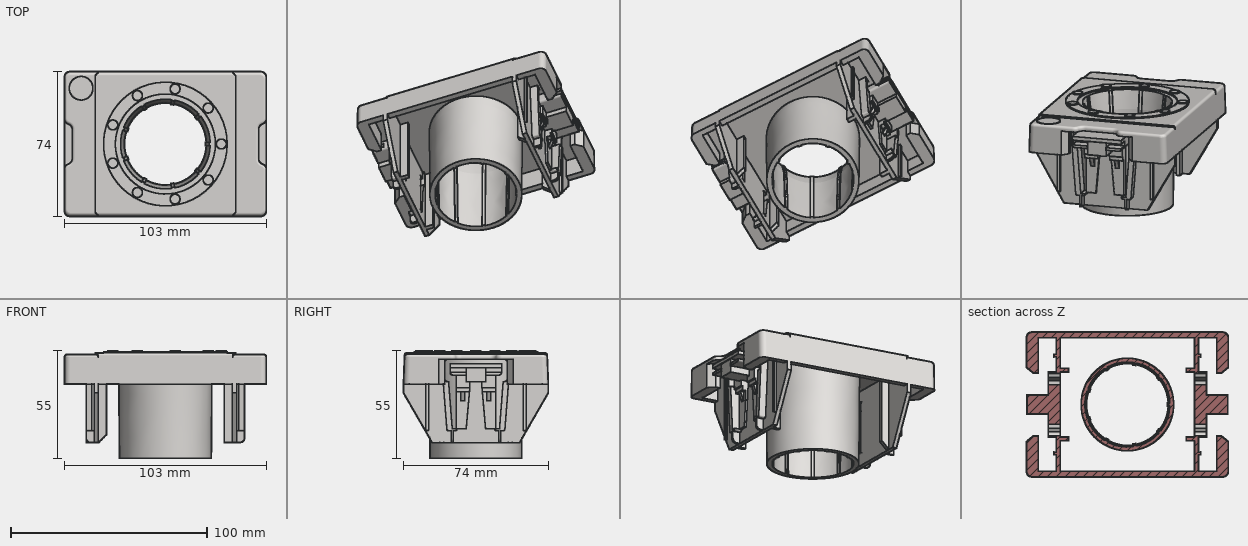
import cadquery as cq
import math

length = 103.0
width_bottom = 74.0
width_top = 72.8
plate_bottom = 37.9
plate_top = 53.0
corner_radius = 3.0
edge_radius = 1.4
wall = 2.5
cavity_top = plate_top - wall
half_length = length / 2

panel_half_length = 35.8
panel_top = 53.9
panel_corner_chamfer = 1.5
ring_outer_diameter = 63.0
ring_inner_diameter = 51.0
ring_top = 54.5
button_diameter = 5.0
button_top = 55.0
button_count = 9
button_circle_radius = (ring_outer_diameter + ring_inner_diameter) / 4

label_diameter = 12.0
label_x = -43.0
label_y = 28.4
label_depth = 0.2

notch_depth = 4.0
notch_floor_half = 7.3
notch_blend = 2.9
flare_half_outer = 19.0
flare_depth = 3.6

tube_radius_top = 23.8
tube_radius_bottom = 23.5
bore_radius_top = 22.9
bore_radius_middle = 21.6
bore_radius_bottom = 20.8
bore_break = 43.9
bore_rib_width = 1.6
bore_rib_height = 0.5

wall_inner = -34.1
wall_outer = -36.4
end_wall_width = width_bottom
end_wall_bottom = 8.1
end_wall_bottom_half = 22.4
end_wall_shoulder = 33.5
end_wall_top_half = 34.5
thin_rib_front = -37.5
thin_rib_inner = 24.1
thin_rib_width = 1.5
thin_rib_radius = 0.7
leg_front = -40.4
leg_bottom = 14.1
leg_inner_half = 9.7
leg_bottom_half = 14.7
leg_plate_half = 16.6
leg_top_half = 17.5
leg_radius = 0.9
fin_inner = 11.5
fin_width = 1.0
fin_radius = 2.3
inner_rib_end = -30.0
inner_rib_y = 16.5
inner_rib_width = 2.1
inner_rib_chamfer = 4.0

opening_half = 16.0
opening_step = 39.1
opening_step_half = 13.9
opening_bottom = 15.1
opening_bottom_half = 12.0
opening_radius = 1.5
tongue_half = 10.1
pad_front = thin_rib_front
strip_half_top = 3.1
strip_half_bottom = 4.9
latch_bottom = 34.0
latch_step = 36.2
latch_lower_front = -39.6
head_front = -half_length
head_half = 13.1
head_bottom = 42.5
head_top = 48.3
head_radius = 1.2
groove_bottom = 43.9
groove_top = 46.4
groove_depth = 6.2
pull_bottom = 39.1
pull_setback = 0.3
gusset_inner = 5.6
gusset_width = 2.1
gusset_bottom = 29.4


def box(x0, x1, y0, y1, z0, z1):
    """Box between the given limits."""
    return cq.Workplane("XY").box(x1 - x0, y1 - y0, z1 - z0, centered=False).translate((x0, y0, z0))


def slab(points, x0, x1):
    """Outline in (y, z) extruded from x0 to x1."""
    return cq.Workplane("YZ").workplane(offset=x0).polyline(points).close().extrude(x1 - x0)


def disc(diameter, z0, z1):
    """Upright cylinder on the Z axis between two heights."""
    return cq.Workplane("XY").workplane(offset=z0).circle(diameter / 2).extrude(z1 - z0)


def both_sides(solid):
    """The solid and its mirror image across the XZ plane."""
    return solid.union(solid.mirror("XZ"))


def both_ends(solid):
    """The solid and its mirror image across the YZ plane."""
    return solid.union(solid.mirror("YZ"))


def grip_notch():
    """Notch with S-shaped flanks, made of two equal tangent arcs on each side."""
    turn = 2 * math.atan(notch_depth / 2 / notch_blend)
    radius = notch_blend / math.sin(turn)
    half_rise = radius * (1 - math.cos(turn / 2))
    half_run = radius * math.sin(turn / 2)
    floor_x = notch_depth - half_length
    mouth_half = notch_floor_half + 2 * notch_blend
    middle = (-half_length + notch_depth / 2, notch_floor_half + notch_blend)
    on_mouth_arc = (-half_length + half_rise, mouth_half - half_run)
    on_floor_arc = (floor_x - half_rise, notch_floor_half + half_run)
    half = (
        cq.Workplane("XY").workplane(offset=plate_bottom)
        .moveTo(-half_length, 0)
        .lineTo(-half_length, mouth_half)
        .threePointArc(on_mouth_arc, middle)
        .threePointArc(on_floor_arc, (floor_x, notch_floor_half))
        .lineTo(floor_x, 0)
        .close()
        .extrude(plate_top - plate_bottom)
    )
    return both_sides(half)


def drafted_block(half_x, top):
    """Block whose long sides lean inward with the draft of the plate."""
    lean = (width_bottom - width_top) / 2 / (plate_top - plate_bottom)
    top_half = width_bottom / 2 - lean * (top - plate_bottom)
    bottom_half = width_bottom / 2
    outline = [(-bottom_half, plate_bottom), (bottom_half, plate_bottom), (top_half, top), (-top_half, top)]
    return slab(outline, -half_x, half_x)


def clip_pocket():
    """Flared mouth below the grip notch, then a straight passage to the cavity."""
    throat_x = -half_length + flare_depth
    mouth = [
        (-half_length, -flare_half_outer),
        (throat_x, -opening_half),
        (throat_x, opening_half),
        (-half_length, flare_half_outer),
    ]
    flare = (
        cq.Workplane("XY").workplane(offset=plate_bottom)
        .polyline(mouth).close().extrude(cavity_top - plate_bottom)
    )
    passage = box(throat_x, wall_inner, -opening_half, opening_half, plate_bottom, cavity_top)
    return flare.union(passage)


def cover_plate():
    """Hollow plate with rounded edges, raised middle panel and end notches."""
    plate = drafted_block(half_length, plate_top)
    plate = plate.edges("not(|X or |Y)").fillet(corner_radius)
    plate = plate.cut(both_ends(grip_notch()))
    plate = plate.faces(">Z").edges().fillet(edge_radius)
    panel = drafted_block(panel_half_length, panel_top)
    panel = panel.edges("not(|X or |Y)").chamfer(panel_corner_chamfer)
    panel = panel.faces(">Z").edges("|X").fillet(edge_radius)
    label = disc(label_diameter, plate_top - label_depth, plate_top).translate((label_x, label_y, 0))
    cavity_half_x = half_length - flare_depth - wall
    cavity_half_y = width_top / 2 - wall
    cavity = box(-cavity_half_x, cavity_half_x, -cavity_half_y, cavity_half_y, plate_bottom, cavity_top)
    return plate.union(panel).cut(label).cut(cavity).cut(both_ends(clip_pocket()))


def indicator_ring():
    """Raised ring carrying evenly spaced round buttons."""
    ring = disc(ring_outer_diameter, panel_top, ring_top).cut(disc(ring_inner_diameter, panel_top, ring_top))
    buttons = (
        cq.Workplane("XY").workplane(offset=panel_top)
        .polarArray(button_circle_radius, 0, 360, button_count)
        .circle(button_diameter / 2).extrude(button_top - panel_top)
    )
    return ring.union(buttons)


def revolved(points):
    """Outline in (radius, z) closed along the Z axis and turned around it."""
    outline = [(0, points[0][1])] + points + [(0, points[-1][1])]
    return cq.Workplane("XZ").polyline(outline).close().revolve(360, (0, 0, 0), (0, 1, 0))


def bore(inset):
    """Tapered bore space, made smaller all round by the inset."""
    return revolved([
        (bore_radius_bottom - inset, 0),
        (bore_radius_middle - inset, bore_break),
        (bore_radius_top - inset, panel_top),
    ])


def bore_ribs():
    """Low axial ribs on the bore wall, one in line with each button."""
    bar = box(0, tube_radius_bottom, -bore_rib_width / 2, bore_rib_width / 2, 0, panel_top)
    ribs = bar
    for index in range(1, button_count):
        ribs = ribs.union(bar.rotate((0, 0, 0), (0, 0, 1), 360 * index / button_count))
    return ribs.intersect(bore(0)).cut(bore(bore_rib_height))


def end_wall():
    """Tapered wall with legs, a stepped opening and thin stiffening ribs."""
    half = end_wall_width / 2
    half_outline = [
        (0, end_wall_bottom),
        (end_wall_bottom_half, end_wall_bottom),
        (half, end_wall_shoulder),
        (half, plate_bottom),
        (end_wall_top_half, plate_bottom),
        (end_wall_top_half, cavity_top),
        (0, cavity_top),
    ]
    body = both_sides(slab(half_outline, wall_outer, wall_inner))

    leg_outline = [
        (leg_inner_half, leg_bottom),
        (leg_bottom_half, leg_bottom),
        (leg_plate_half, plate_bottom),
        (leg_top_half, cavity_top),
        (leg_inner_half, cavity_top),
    ]
    leg = slab(leg_outline, leg_front, wall_outer)
    leg = leg.faces("<Z").edges("|X").fillet(leg_radius)
    thin_rib = box(
        thin_rib_front, wall_outer,
        thin_rib_inner, thin_rib_inner + thin_rib_width,
        leg_bottom, cavity_top,
    )
    thin_rib = thin_rib.faces("<Z").edges("|X").fillet(thin_rib_radius)
    body = body.union(both_sides(leg)).union(both_sides(thin_rib))

    opening_outline = [
        (opening_bottom_half, opening_bottom),
        (opening_step_half, opening_step),
        (opening_half, opening_step),
        (opening_half, cavity_top),
        (-opening_half, cavity_top),
        (-opening_half, opening_step),
        (-opening_step_half, opening_step),
        (-opening_bottom_half, opening_bottom),
    ]
    opening = slab(opening_outline, leg_front, wall_inner)
    opening = opening.faces(">Y or <Y").edges("|X").fillet(opening_radius)
    return body.cut(opening)


def snap_tongue():
    """Tongue rising from the foot of the opening, with an overhanging finger head."""
    tongue = box(wall_outer, wall_inner, -tongue_half, tongue_half, opening_bottom, head_bottom)
    pad_outline = [
        (tongue_half, opening_bottom),
        (strip_half_bottom, opening_bottom),
        (strip_half_top, latch_step),
        (strip_half_top, head_bottom),
        (tongue_half, head_bottom),
    ]
    pad = slab(pad_outline, pad_front, wall_outer)
    lower_latch = slab(pad_outline, latch_lower_front, pad_front)
    below_latch = box(latch_lower_front, pad_front, 0, tongue_half, opening_bottom, latch_bottom)
    lower_latch = lower_latch.cut(below_latch)
    upper_latch = box(leg_front, latch_lower_front, strip_half_top, tongue_half, latch_step, head_bottom)
    gusset_outline = [
        (pad_front, gusset_bottom),
        (latch_lower_front, latch_bottom),
        (pad_front, latch_bottom),
    ]
    gusset = (
        cq.Workplane("XZ").polyline(gusset_outline).close().extrude(-gusset_width)
        .translate((0, gusset_inner, 0))
    )
    latch = pad.union(lower_latch).union(upper_latch).union(gusset)

    head = box(head_front, wall_inner, -head_half, head_half, head_bottom, head_top)
    head = head.faces("<Z").edges("|X").fillet(head_radius)
    groove = box(
        head_front, head_front + groove_depth,
        strip_half_bottom, head_half,
        groove_bottom, groove_top,
    )
    head = head.cut(both_sides(groove))
    pull_front = head_front + pull_setback
    relief = box(head_front, pull_front, -strip_half_bottom, strip_half_bottom, head_bottom, groove_top)
    head = head.cut(relief)
    pull = box(pull_front, wall_outer, -strip_half_bottom, strip_half_bottom, pull_bottom, head_bottom)
    return tongue.union(both_sides(latch)).union(head).union(pull)


def fin(rounded):
    """Fin below the leg on the +Y side, with its free corner rounded or square."""
    body = box(leg_front, wall_outer, fin_inner, fin_inner + fin_width, end_wall_bottom, leg_bottom)
    if rounded:
        body = body.edges("|Y and <X and <Z").fillet(fin_radius)
    return body


def inner_rib(chamfered):
    """Rib on the inner face of the end wall, on the +Y side."""
    body = box(
        wall_inner, inner_rib_end,
        inner_rib_y, inner_rib_y + inner_rib_width,
        end_wall_bottom, cavity_top,
    )
    if chamfered:
        body = body.edges("|Y and >X and <Z").chamfer(inner_rib_chamfer)
    return body


hanging_end = end_wall().union(snap_tongue())
left_end = hanging_end.union(fin(False)).union(fin(True).mirror("XZ")).union(both_sides(inner_rib(True)))
right_end = hanging_end.union(both_sides(fin(True))).union(both_sides(inner_rib(False))).mirror("YZ")

tube = revolved([(tube_radius_bottom, 0), (tube_radius_top, bore_break), (tube_radius_top, cavity_top)])

result = (
    cover_plate()
    .union(tube)
    .cut(bore(0))
    .union(bore_ribs())
    .union(indicator_ring())
    .union(left_end)
    .union(right_end)
)